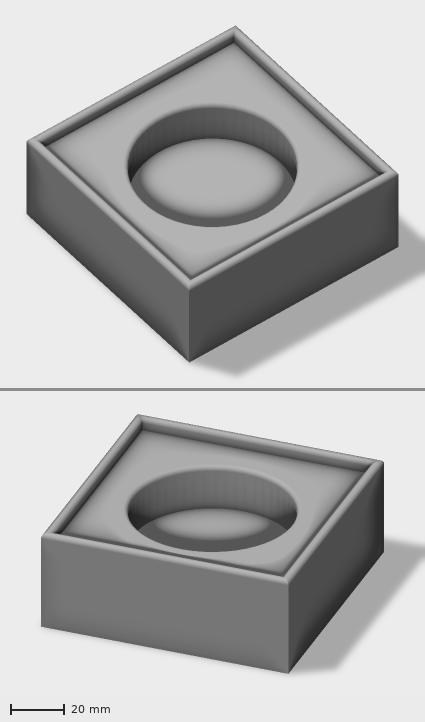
import cadquery as cq

side = 100.0
height = 40.1
edge_radius = 1.8

rim_width = 3.8
tray_depth = 5.1
tray_side = side - 2 * rim_width
tray_floor = height - tray_depth

pocket_diameter = 63.8
pocket_depth = 18.0

block = cq.Workplane("XY").box(side, side, height, centered=(True, True, False))

tray = (
    cq.Workplane("XY", origin=(0, 0, tray_floor))
    .rect(tray_side, tray_side)
    .extrude(tray_depth)
)
rimmed_block = block.cut(tray).faces(">Z").edges().fillet(edge_radius)

pocket = (
    cq.Workplane("XY", origin=(0, 0, tray_floor - pocket_depth))
    .circle(pocket_diameter / 2)
    .extrude(pocket_depth)
)
pocket_mouth = cq.selectors.NearestToPointSelector((0, 0, tray_floor))
result = rimmed_block.cut(pocket).edges("%CIRCLE").edges(pocket_mouth).fillet(edge_radius)